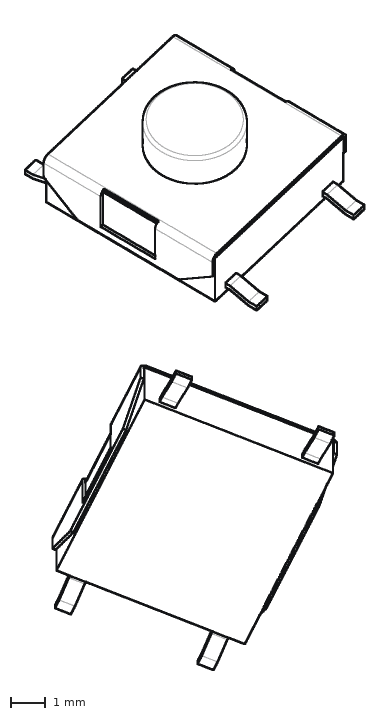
import cadquery as cq

lead_span = 8.5
cover_width = 6.2
total_height = 3.1

cover_top = 2.01
cover_thickness = 0.1
cover_outer_radius = 0.2
cover_inner_radius = 0.05
skirt_bottom = 0.2
skirt_bottom_width = 3.715
skirt_corner_height = 1.19

window_width = 2.0
window_bottom = 0.5
window_depth = 0.15

clearance = 0.025
button_diameter = 3.0
button_edge_radius = 0.1

lead_width = 0.5
lead_pitch = 4.5
lead_thickness = 0.18
lead_rise = 0.2
foot_length = 0.3
slope_length = 0.68

half_width = cover_width / 2
cover_inner_width = cover_width - 2 * cover_thickness
cover_inner_top = cover_top - cover_thickness
base_depth = cover_inner_width - 2 * clearance
base_height = cover_inner_top - clearance


def make_lead(side, y_center):
    """One lead, bent up from its foot; side is +1 or -1 along X."""
    tip_x = lead_span / 2
    foot_end_x = tip_x - foot_length
    shoulder_x = foot_end_x - slope_length
    shoulder_top = lead_rise + lead_thickness
    profile = [
        (side * tip_x, 0),
        (side * tip_x, lead_thickness),
        (side * foot_end_x, lead_thickness),
        (side * shoulder_x, shoulder_top),
        (side * half_width, shoulder_top),
        (side * half_width, lead_rise),
        (side * shoulder_x, lead_rise),
        (side * foot_end_x, 0),
    ]
    lead = cq.Workplane("XZ").polyline(profile).close().extrude(lead_width / 2, both=True)
    return lead.translate((0, y_center, 0))


def make_button():
    """Round button standing on the base, with a rounded top edge."""
    return (
        cq.Workplane("XY", origin=(0, 0, base_height))
        .circle(button_diameter / 2)
        .extrude(total_height - base_height)
        .faces(">Z")
        .edges()
        .fillet(button_edge_radius)
    )


def make_base():
    """Block, button and four leads as one body."""
    base = cq.Workplane("XY").box(cover_width, base_depth, base_height, centered=(True, True, False))
    base = base.union(make_button())
    for side in (-1, 1):
        for y_center in (-lead_pitch / 2, lead_pitch / 2):
            base = base.union(make_lead(side, y_center))
    return base


def make_bent_sheet():
    """Top plate with two skirts bent down at -Y and +Y, open at the X ends."""
    sheet = (
        cq.Workplane("XY")
        .box(cover_width, cover_width, cover_top, centered=(True, True, False))
        .edges("|X and >Z")
        .fillet(cover_outer_radius)
    )
    hollow = (
        cq.Workplane("XY")
        .box(cover_width, cover_inner_width, cover_inner_top, centered=(True, True, False))
        .edges("|X and >Z")
        .fillet(cover_inner_radius)
    )
    return sheet.cut(hollow)


def make_skirt_outline():
    """Prism along Y that tapers the skirts toward their lower edge."""
    outline = [
        (-half_width, cover_top),
        (-half_width, skirt_corner_height),
        (-skirt_bottom_width / 2, skirt_bottom),
        (skirt_bottom_width / 2, skirt_bottom),
        (half_width, skirt_corner_height),
        (half_width, cover_top),
    ]
    return cq.Workplane("XZ").polyline(outline).close().extrude(half_width, both=True)


def make_window(side):
    """Cutter for the window in the skirt at -Y or +Y."""
    return cq.Workplane("XY").box(
        window_width, window_depth, cover_top - window_bottom, centered=(True, True, False)
    ).translate((0, side * (half_width - window_depth / 2), window_bottom))


def make_cover():
    """Bent sheet with tapered skirts, two windows and the button hole."""
    cover = make_bent_sheet().intersect(make_skirt_outline())
    for side in (-1, 1):
        cover = cover.cut(make_window(side))
    button_hole = cq.Workplane("XY").circle(button_diameter / 2).extrude(cover_top)
    return cover.cut(button_hole)


base = make_base()
cover = make_cover()
result = cq.Compound.makeCompound([base.solids().val(), cover.solids().val()])